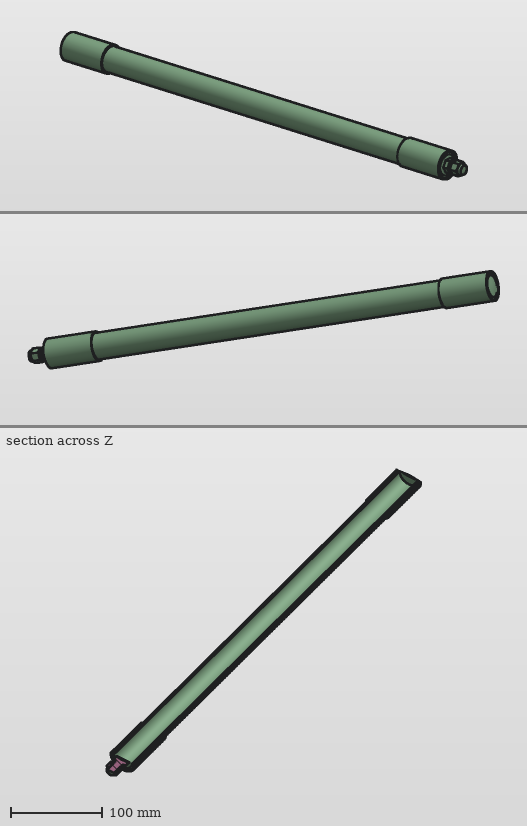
import cadquery as cq
import math

total_length = 561.0
cap_length = 58.0
cap_cone_height = 1.5
tube_length = 420.5
cap_floor = 0.5
flange_length = 7.0
neck_gap = 3.5
nut_tip_length = 3.5
hex_chamfer_angle = 40.0

cap_diameter = 33.0
tube_diameter = 30.0
tube_bore = 24.0
neck_diameter = 10.0
hex_across_flats = 14.5
hex_across_corners = hex_across_flats / math.cos(math.radians(30))
tip_base_diameter = 14.0
tip_end_diameter = 11.0

left_end = -total_length / 2
right_end = total_length / 2
left_cap_opening = left_end + cap_cone_height + cap_length
right_cap_opening = left_cap_opening + tube_length
socket_depth = cap_length - cap_floor
tube_start = left_cap_opening - socket_depth
tube_end = right_cap_opening + socket_depth
right_cap_wall_end = right_cap_opening + cap_length
flange_end = right_cap_wall_end + flange_length
nut_start = flange_end + neck_gap
hex_end = right_end - nut_tip_length


def cylinder(start, end, diameter):
    """Solid cylinder along X."""
    return cq.Workplane("YZ", origin=(start, 0, 0)).circle(diameter / 2).extrude(end - start)


def revolve_about_x(points):
    """Solid of revolution about X from a closed outline of (x, radius) points."""
    return cq.Workplane("XY").polyline(points).close().revolve(360, (0, 0, 0), (1, 0, 0))


def hexagon(start, end):
    """Hexagonal bar along X with flats facing up and down."""
    return cq.Workplane("YZ", origin=(start, 0, 0)).polygon(6, hex_across_corners).extrude(end - start)


def chamfered_hexagon(start, end):
    """Hexagonal bar, flats up and down, corners chamfered at the right end."""
    face_radius = tip_base_diameter / 2
    corner_radius = hex_across_corners / 2
    chamfer_depth = (corner_radius - face_radius) * math.tan(math.radians(hex_chamfer_angle))
    envelope = revolve_about_x([
        (start, 0),
        (start, corner_radius),
        (end - chamfer_depth, corner_radius),
        (end, face_radius),
        (end, 0),
    ])
    return hexagon(start, end).intersect(envelope)


def end_cap(opening_x, direction):
    """Socketed cap whose shallow conical end points along direction (-1 or 1)."""
    wall_end_x = opening_x + direction * cap_length
    apex_x = wall_end_x + direction * cap_cone_height
    socket_floor_x = opening_x + direction * socket_depth
    return revolve_about_x([
        (opening_x, tube_diameter / 2),
        (opening_x, cap_diameter / 2),
        (wall_end_x, cap_diameter / 2),
        (apex_x, 0),
        (socket_floor_x, 0),
        (socket_floor_x, tube_diameter / 2),
    ])


tube = cylinder(tube_start, tube_end, tube_diameter).cut(cylinder(tube_start, tube_end, tube_bore))
left_cap = end_cap(left_cap_opening, -1)
right_cap = end_cap(right_cap_opening, 1)

connector = (
    hexagon(right_cap_wall_end, flange_end)
    .union(cylinder(right_cap_wall_end, right_end, neck_diameter))
    .cut(right_cap)
)

nut_tip = revolve_about_x([
    (hex_end, 0),
    (hex_end, tip_base_diameter / 2),
    (right_end, tip_end_diameter / 2),
    (right_end, 0),
])
nut = (
    chamfered_hexagon(nut_start, hex_end)
    .union(nut_tip)
    .cut(cylinder(nut_start, right_end, neck_diameter))
)

bodies = [tube, left_cap, right_cap, connector, nut]
result = cq.Compound.makeCompound([body.val() for body in bodies])